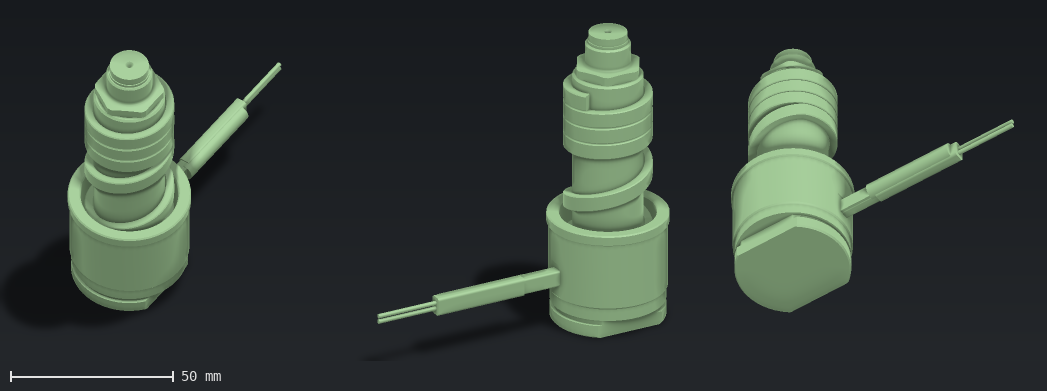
import cadquery as cq
import math

BASE_CHAMFER = 0.5
FOOT_TOP = 4.2
NECK_TOP = 6.1
LOWER_BAND_TOP = 10.0
SLEEVE_BOTTOM = 10.6
FLANGE_BOTTOM = 31.8
CUP_TOP = 35.3
CUP_FLOOR = 10.0
CUP_SEAT_TOP = 20.0
BODY_TOP = 82.3
NUT_BOTTOM = 82.7
NUT_SHOULDER = 85.3
NUT_TOP = 85.8
COLLAR_TOP = 92.8
TIP_NECK_TOP = 93.7
TOTAL_HEIGHT = 96.2

FOOT_RADIUS = 18.0
NECK_RADIUS = 17.0
SLEEVE_RADIUS = 18.5
FLANGE_RADIUS = 19.0
FLANGE_CHAMFER = 0.4
CUP_BORE_RADIUS = 15.1
CUP_SEAT_RADIUS = 14.4
BODY_RADIUS = 11.0
BODY_CHAMFER = 0.6
COLLAR_RADIUS = 7.1
COLLAR_CHAMFER = 0.5
COLLAR_FILLET = 0.8
TIP_NECK_RADIUS = 6.3
TIP_RADIUS = 6.0
CENTER_HOLE_RADIUS = 1.3

FOOT_ACROSS_FLATS = 28.2
NUT_ACROSS_FLATS = 19.1
NUT_CORNER_RADIUS = 10.6
CABLE_FLAT_Y = 18.3
CABLE_FLAT_TOP = 21.6

COIL_INNER_RADIUS = 11.4
COIL_OUTER_RADIUS = 13.8
COIL_HEIGHT = 5.0
COIL_CHAMFER = 0.3
CLOSED_COIL_GAP = 0.35
CLOSED_PITCH = COIL_HEIGHT + CLOSED_COIL_GAP
OPEN_PITCH = 21.4
BOTTOM_CLOSED_TURNS = 3.14
OPEN_TURNS = 1.44
SPRING_END_ANGLE = 122.0
TOP_CLOSED_TURNS = 3.2
FLOOR_OVERLAP = 0.1

CABLE_X = -1.3
CABLE_Z = 17.2
CABLE_WIDTH = 3.2
CABLE_HEIGHT = 5.2
CABLE_FILLET = 0.65
CABLE_START_Y = 16.5
JACKET_WIDTH = 3.8
JACKET_HEIGHT = 6.0
JACKET_FILLET = 0.95
JACKET_START_Y = 30.9
JACKET_END_Y = 61.0
WIRE_RADIUS = 0.7
WIRE_SPACING = 1.8
WIRE_END_Y = 81.0
CAPSULE_RADIUS = 2.7
CAPSULE_START_Y = 29.1
CAPSULE_END_Y = 59.0
STRIP_RIGHT_X = 0.9
STRIP_HEIGHT = 5.0


def disc(radius, bottom, top):
    return cq.Workplane("XY").workplane(offset=bottom).circle(radius).extrude(top - bottom)


def make_cup():
    """Turned cup with a flanged rim, wrench flats on its foot and a flat for the cable."""
    foot = disc(FOOT_RADIUS, 0, FOOT_TOP).faces("<Z").chamfer(BASE_CHAMFER)
    foot = foot.union(disc(NECK_RADIUS, FOOT_TOP, NECK_TOP))
    flats = cq.Workplane("XY").box(
        FOOT_ACROSS_FLATS, 2 * FLANGE_RADIUS, NECK_TOP, centered=(True, True, False)
    )
    foot = foot.intersect(flats)

    rim_bottom = FLANGE_BOTTOM + FLANGE_CHAMFER
    rim_top = CUP_TOP - FLANGE_CHAMFER
    profile = [
        (0, NECK_TOP),
        (FOOT_RADIUS, NECK_TOP),
        (FOOT_RADIUS, LOWER_BAND_TOP),
        (SLEEVE_RADIUS, SLEEVE_BOTTOM),
        (SLEEVE_RADIUS, FLANGE_BOTTOM),
        (FLANGE_RADIUS, rim_bottom),
        (FLANGE_RADIUS, rim_top),
        (FLANGE_RADIUS - FLANGE_CHAMFER, CUP_TOP),
        (CUP_BORE_RADIUS + FLANGE_CHAMFER, CUP_TOP),
        (CUP_BORE_RADIUS, rim_top),
        (CUP_BORE_RADIUS, CUP_SEAT_TOP),
        (CUP_SEAT_RADIUS, CUP_SEAT_TOP),
        (CUP_SEAT_RADIUS, CUP_FLOOR),
        (0, CUP_FLOOR),
    ]
    shell = cq.Workplane("XZ").polyline(profile).close().revolve(360, (0, 0), (0, 1))
    cable_flat = (
        cq.Workplane("XY")
        .workplane(offset=SLEEVE_BOTTOM)
        .center(0, CABLE_FLAT_Y + FLANGE_RADIUS / 2)
        .rect(2 * FLANGE_RADIUS, FLANGE_RADIUS)
        .extrude(CABLE_FLAT_TOP - SLEEVE_BOTTOM)
    )
    return foot.union(shell.cut(cable_flat))


def make_body():
    """Central column with the stepped tip and its conical center hole."""
    body = disc(BODY_RADIUS, CUP_FLOOR, BODY_TOP).faces(">Z").chamfer(BODY_CHAMFER)
    washer = disc(NUT_ACROSS_FLATS / 2, BODY_TOP, NUT_BOTTOM)
    fillet_top = NUT_TOP + COLLAR_FILLET
    fillet_inset = COLLAR_FILLET * (1 - math.sqrt(0.5))
    tip = (
        cq.Workplane("XZ")
        .moveTo(0, NUT_BOTTOM)
        .lineTo(COLLAR_RADIUS + COLLAR_FILLET, NUT_BOTTOM)
        .lineTo(COLLAR_RADIUS + COLLAR_FILLET, NUT_TOP)
        .threePointArc(
            (COLLAR_RADIUS + fillet_inset, NUT_TOP + fillet_inset),
            (COLLAR_RADIUS, fillet_top),
        )
        .lineTo(COLLAR_RADIUS, COLLAR_TOP - COLLAR_CHAMFER)
        .lineTo(COLLAR_RADIUS - COLLAR_CHAMFER, COLLAR_TOP)
        .lineTo(TIP_NECK_RADIUS, COLLAR_TOP)
        .lineTo(TIP_NECK_RADIUS, TIP_NECK_TOP)
        .lineTo(TIP_RADIUS, TIP_NECK_TOP)
        .lineTo(TIP_RADIUS, TOTAL_HEIGHT)
        .lineTo(CENTER_HOLE_RADIUS, TOTAL_HEIGHT)
        .lineTo(0, TOTAL_HEIGHT - CENTER_HOLE_RADIUS)
        .close()
        .revolve(360, (0, 0), (0, 1))
    )
    return body.union(washer).union(tip)


def make_nut():
    """Hexagon with rounded corners and a conical top."""
    hexagon = (
        cq.Workplane("XY")
        .workplane(offset=NUT_BOTTOM)
        .polygon(6, NUT_ACROSS_FLATS, circumscribed=True)
        .extrude(NUT_TOP - NUT_BOTTOM)
    )
    blank = (
        cq.Workplane("XZ")
        .polyline([
            (0, NUT_BOTTOM),
            (NUT_CORNER_RADIUS, NUT_BOTTOM),
            (NUT_CORNER_RADIUS, NUT_SHOULDER),
            (COLLAR_RADIUS + COLLAR_FILLET, NUT_TOP),
            (0, NUT_TOP),
        ])
        .close()
        .revolve(360, (0, 0), (0, 1))
    )
    return hexagon.intersect(blank)


def coil_segment(pitch, turns, start_angle, bottom):
    """Rising helical length of wire, chamfered on its two outer edges."""
    chamfered_radius = COIL_OUTER_RADIUS - COIL_CHAMFER
    section = cq.Workplane("XZ").polyline([
        (COIL_INNER_RADIUS, 0),
        (chamfered_radius, 0),
        (COIL_OUTER_RADIUS, COIL_CHAMFER),
        (COIL_OUTER_RADIUS, COIL_HEIGHT - COIL_CHAMFER),
        (chamfered_radius, COIL_HEIGHT),
        (COIL_INNER_RADIUS, COIL_HEIGHT),
    ]).close()
    path = cq.Wire.makeHelix(pitch, pitch * turns, COIL_INNER_RADIUS)
    coil = section.sweep(cq.Workplane(obj=path), isFrenet=True)
    return coil.rotate((0, 0, 0), (0, 0, 1), start_angle).translate((0, 0, bottom))


def make_spring_segments():
    """Closed coils on the cup floor, open coils, then closed coils up to the free end."""
    segments = [
        (CLOSED_PITCH, BOTTOM_CLOSED_TURNS),
        (OPEN_PITCH, OPEN_TURNS),
        (CLOSED_PITCH, TOP_CLOSED_TURNS),
    ]
    total_turns = sum(turns for _, turns in segments)
    angle = SPRING_END_ANGLE - 360 * total_turns
    bottom = CUP_FLOOR - FLOOR_OVERLAP
    coils = []
    for pitch, turns in segments:
        coils.append(coil_segment(pitch, turns, angle, bottom))
        angle += 360 * turns
        bottom += pitch * turns
    return coils


def bar_along_y(width, height, fillet, start, end):
    """Rounded rectangular bar centered on the cable axis."""
    return (
        cq.Workplane("XY")
        .box(width, end - start, height)
        .edges("|Y")
        .fillet(fillet)
        .translate((CABLE_X, (start + end) / 2, CABLE_Z))
    )


def rod_along_y(radius, x, z, start, end):
    return cq.Workplane("XZ", origin=(x, start, z)).circle(radius).extrude(start - end)


def make_cable():
    """Flat cable with a jacket, a capsule and strip beside it, and two bare wires."""
    cable = bar_along_y(CABLE_WIDTH, CABLE_HEIGHT, CABLE_FILLET, CABLE_START_Y, JACKET_END_Y)
    jacket = bar_along_y(JACKET_WIDTH, JACKET_HEIGHT, JACKET_FILLET, JACKET_START_Y, JACKET_END_Y)
    capsule = rod_along_y(CAPSULE_RADIUS, 0, CABLE_Z, CAPSULE_START_Y, CAPSULE_END_Y)
    strip_length = CAPSULE_START_Y - CABLE_START_Y
    strip = cq.Workplane("XY").box(STRIP_RIGHT_X - CABLE_X, strip_length, STRIP_HEIGHT).translate(
        ((CABLE_X + STRIP_RIGHT_X) / 2, CABLE_START_Y + strip_length / 2, CABLE_Z)
    )
    cable = cable.union(jacket).union(capsule).union(strip)
    for side in (-1, 1):
        wire_z = CABLE_Z + side * WIRE_SPACING / 2
        cable = cable.union(rod_along_y(WIRE_RADIUS, CABLE_X, wire_z, JACKET_END_Y, WIRE_END_Y))
    return cable


result = make_cup().union(make_body()).union(make_nut()).union(make_cable())
for coil in make_spring_segments():
    result = result.union(coil)